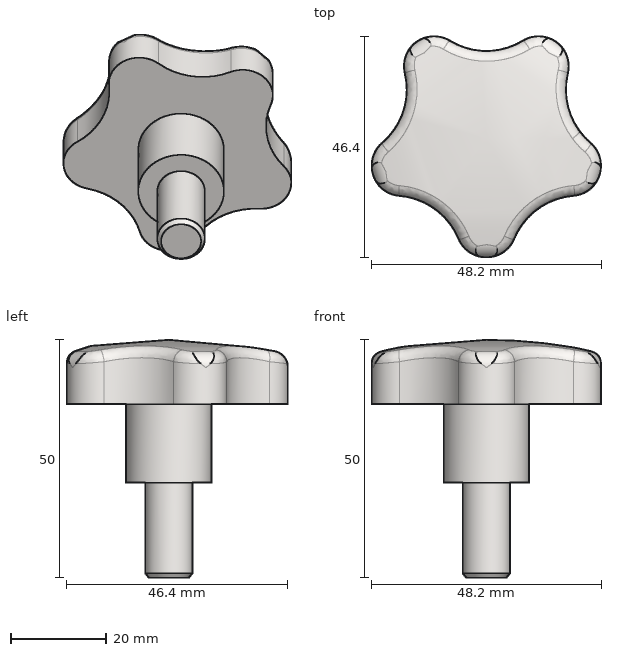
import cadquery as cq
import math

lobe_count = 5
lobe_center_radius = 18.65
lobe_radius = 6.35
valley_depth_radius = 18.35
dome_radius = 105
rim_fillet = 2.5
nose_radius = 3.5

stud_length = 20
hub_length = 16.5
head_height = 13.5
head_bottom = stud_length + hub_length
total_height = head_bottom + head_height

hub_diameter = 18
stud_diameter = 10
tip_chamfer_height = 1
tip_chamfer_width = 0.8

lobe_pitch = 360 / lobe_count
first_lobe_angle = -90
tip_radius = lobe_center_radius + lobe_radius
dome_center_height = total_height - dome_radius

half_pitch = math.radians(lobe_pitch / 2)
valley_offset = lobe_center_radius * math.cos(half_pitch) - valley_depth_radius
lobe_offset = lobe_center_radius * math.sin(half_pitch)
valley_radius = (valley_offset**2 + lobe_offset**2 - lobe_radius**2) / (2 * (lobe_radius + valley_offset))


def polar(radius, degrees):
    angle = math.radians(degrees)
    return (radius * math.cos(angle), radius * math.sin(angle))


def lobe_valley_joint(lobe_angle, valley_angle):
    """Point where a lobe arc runs tangentially into a valley arc."""
    lobe_x, lobe_y = polar(lobe_center_radius, lobe_angle)
    valley_x, valley_y = polar(valley_depth_radius + valley_radius, valley_angle)
    distance = math.hypot(valley_x - lobe_x, valley_y - lobe_y)
    share = lobe_radius / distance
    return (lobe_x + share * (valley_x - lobe_x), lobe_y + share * (valley_y - lobe_y))


def star_prism():
    start = lobe_valley_joint(first_lobe_angle, first_lobe_angle - lobe_pitch / 2)
    outline = cq.Workplane("XY").workplane(offset=head_bottom).moveTo(*start)
    for index in range(lobe_count):
        lobe_angle = first_lobe_angle + index * lobe_pitch
        valley_angle = lobe_angle + lobe_pitch / 2
        lobe_tip = polar(tip_radius, lobe_angle)
        lobe_end = lobe_valley_joint(lobe_angle, valley_angle)
        valley_bottom = polar(valley_depth_radius, valley_angle)
        valley_end = lobe_valley_joint(lobe_angle + lobe_pitch, valley_angle)
        outline = outline.threePointArc(lobe_tip, lobe_end)
        outline = outline.threePointArc(valley_bottom, valley_end)
    return outline.close().extrude(head_height)


def domed_head():
    """Star prism topped by a shallow spherical dome with a rounded rim."""
    dome = cq.Workplane("XY").sphere(dome_radius).translate((0, 0, dome_center_height))
    head = star_prism().intersect(dome)
    return head.faces("%SPHERE").edges().fillet(rim_fillet)


def nose_cutter():
    """Straight bar, placed at the +X tip, that rounds the tip from its wall up into the dome."""
    center_radius = tip_radius - nose_radius
    dome_angle = math.asin(center_radius / (dome_radius - nose_radius))
    center_height = dome_center_height + (dome_radius - nose_radius) * math.cos(dome_angle)

    def nose_point(angle):
        return (
            center_radius + nose_radius * math.cos(angle),
            center_height + nose_radius * math.sin(angle),
        )

    dome_end_angle = math.pi / 2 - dome_angle
    dome_end = nose_point(dome_end_angle)
    outer = tip_radius + nose_radius
    return (
        cq.Workplane("XZ")
        .moveTo(tip_radius, center_height)
        .threePointArc(nose_point(dome_end_angle / 2), dome_end)
        .lineTo(dome_end[0], total_height)
        .lineTo(outer, total_height)
        .lineTo(outer, center_height)
        .close()
        .extrude(lobe_radius, both=True)
    )


def head_with_rounded_noses():
    head = domed_head()
    for index in range(lobe_count):
        angle = first_lobe_angle + index * lobe_pitch
        head = head.cut(nose_cutter().rotate((0, 0, 0), (0, 0, 1), angle))
    return head


def hub():
    return cq.Workplane("XY").workplane(offset=stud_length).circle(hub_diameter / 2).extrude(hub_length)


def stud():
    rod = cq.Workplane("XY").circle(stud_diameter / 2).extrude(stud_length)
    return rod.faces("<Z").chamfer(tip_chamfer_height, tip_chamfer_width)


result = head_with_rounded_noses().union(hub()).union(stud())